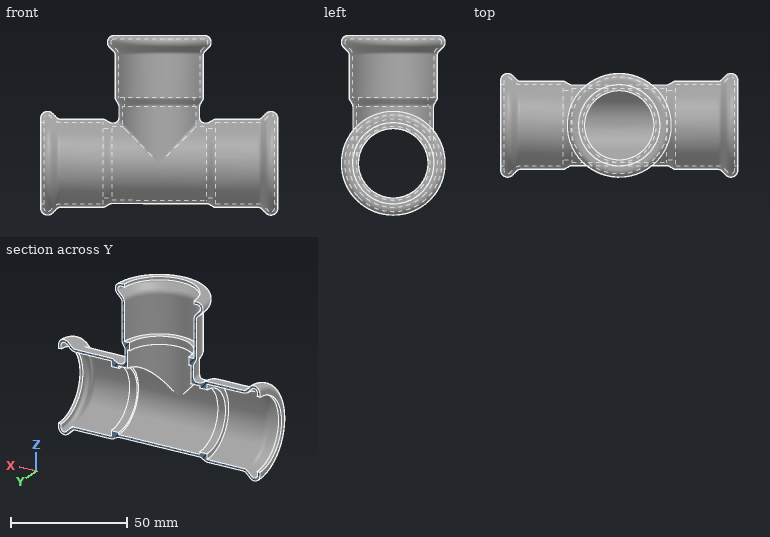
import cadquery as cq
import math


run_half_length = 51.0
branch_length = 55.0

body_radius = 34.8 / 2
socket_radius = 38.0 / 2
bead_outer_radius = 44.7 / 2
stop_radius = 29.8 / 2

wall = 1.5
bead_round = 3.0
bead_neck_round = 2.0
bead_neck_angle = math.radians(45)
socket_inner_radius = socket_radius - wall
bore_radius = body_radius - wall

taper_start = 26.75
taper_round = 2.0
taper_angle = math.radians(30)
taper_round_drop = taper_round * (1 - math.cos(taper_angle))
taper_round_length = taper_round * math.sin(taper_angle)
taper_cone_drop = socket_radius - body_radius - 2 * taper_round_drop
taper_cone_length = taper_cone_drop / math.tan(taper_angle)
taper_end = taper_start + taper_cone_length + 2 * taper_round_length

crotch_round = 2.0


def on_arc(center, radius, angle):
    """Point on a circle in the (radius, depth) half-plane; angle 0 points away from the axis."""
    return (center[0] + radius * math.cos(angle), center[1] + radius * math.sin(angle))


def bead_wall(profile, bead_radius, neck_radius, tube_radius):
    """Add a bead, its conical neck and the round into the tube, starting at the bead's mouth end."""
    bead_center = (bead_outer_radius - bead_round, bead_round)
    bead_end_angle = math.pi / 2 - bead_neck_angle
    bead_end = on_arc(bead_center, bead_radius, bead_end_angle)
    neck_end_radius = tube_radius + neck_radius * (1 - math.cos(bead_neck_angle))
    neck_end_depth = bead_end[1] + (bead_end[0] - neck_end_radius) / math.tan(bead_neck_angle)
    tube_depth = neck_end_depth + neck_radius * math.sin(bead_neck_angle)
    neck_center = (tube_radius + neck_radius, tube_depth)
    return (
        profile
        .threePointArc(on_arc(bead_center, bead_radius, 0), bead_end)
        .lineTo(neck_end_radius, neck_end_depth)
        .threePointArc(
            on_arc(neck_center, neck_radius, math.pi + bead_neck_angle / 2),
            (tube_radius, tube_depth),
        )
    )


def taper_wall(profile):
    """Add the rounded cone that leads from the socket down to the body."""
    outer_center = (socket_radius - taper_round, taper_start)
    inner_center = (body_radius + taper_round, taper_end)
    return (
        profile
        .lineTo(socket_radius, taper_start)
        .threePointArc(
            on_arc(outer_center, taper_round, taper_angle / 2),
            (socket_radius - taper_round_drop, taper_start + taper_round_length),
        )
        .lineTo(body_radius + taper_round_drop, taper_end - taper_round_length)
        .threePointArc(
            on_arc(inner_center, taper_round, math.pi + taper_angle / 2),
            (body_radius, taper_end),
        )
    )


def revolve(profile):
    """Close a half-profile and turn it around the depth axis."""
    return profile.close().revolve(360, (0, 0, 0), (0, 1, 0))


def socket_outside(length):
    """Solid socket with its mouth at depth 0 and its plain body reaching down to the given length."""
    profile = cq.Workplane("XZ").lineTo(bead_outer_radius - bead_round, 0)
    profile = bead_wall(profile, bead_round, bead_neck_round, socket_radius)
    profile = taper_wall(profile)
    return revolve(profile.lineTo(body_radius, length).lineTo(0, length))


def socket_inside(length):
    """Hollow of a socket: mouth, seal groove behind the lip, pipe seat, stop ring and bore."""
    groove_mouth_radius = bead_outer_radius - bead_round
    profile = (
        cq.Workplane("XZ")
        .lineTo(socket_inner_radius, 0)
        .lineTo(socket_inner_radius, wall)
        .lineTo(groove_mouth_radius, wall)
    )
    profile = bead_wall(profile, bead_round - wall, bead_neck_round + wall, socket_inner_radius)
    profile = (
        profile
        .lineTo(socket_inner_radius, taper_start)
        .lineTo(stop_radius, taper_start)
        .lineTo(stop_radius, taper_end)
        .lineTo(bore_radius, taper_end)
        .lineTo(bore_radius, length)
        .lineTo(0, length)
    )
    return revolve(profile)


def aim_up(socket, length):
    """Turn the depth axis to -Z and lift the mouth to the given height."""
    return socket.rotate((0, 0, 0), (1, 0, 0), 180).translate((0, 0, length))


def run_of(make_socket):
    """Two sockets facing -X and +X that join at the origin."""
    upright = aim_up(make_socket(run_half_length), run_half_length)
    left = upright.rotate((0, 0, 0), (0, 1, 0), -90)
    right = upright.rotate((0, 0, 0), (0, 1, 0), 90)
    return left.union(right).clean()


def branch_of(make_socket):
    """One socket facing +Z that reaches down to the origin."""
    return aim_up(make_socket(branch_length), branch_length)


def round_crotch(tee):
    """Round the mitre curves where the branch meets the run."""
    mitre_edges = [edge for edge in tee.edges().vals() if edge.geomType() == "ELLIPSE"]
    return tee.newObject(mitre_edges).fillet(crotch_round)


outside = round_crotch(run_of(socket_outside).union(branch_of(socket_outside)))
inside = run_of(socket_inside).union(branch_of(socket_inside))
result = outside.cut(inside)